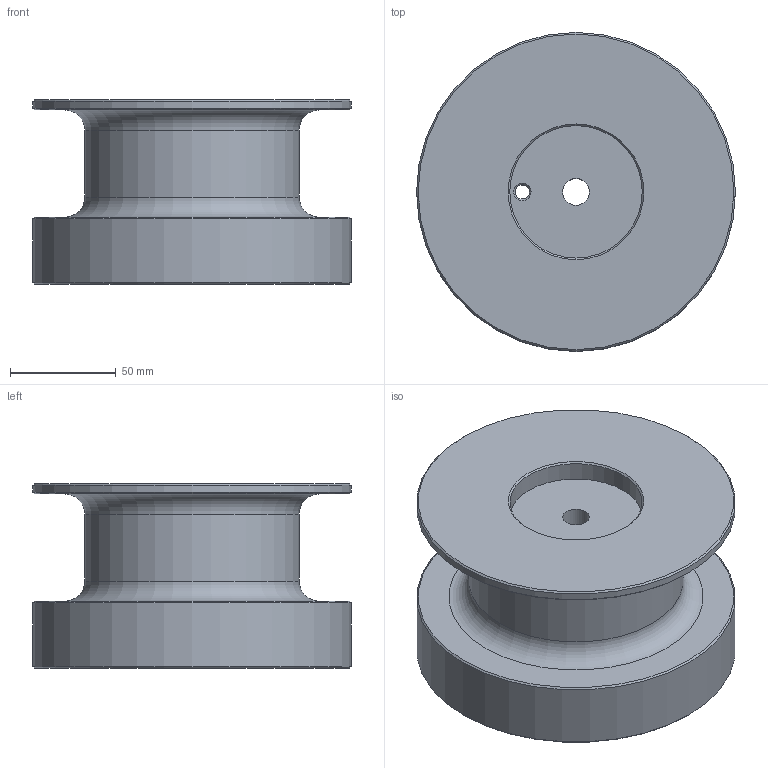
import cadquery as cq

outer_diameter = 151.13
hub_diameter = 101.6
rim_height = 31.75
groove_width = 50.8
flange_thickness = 4.775
groove_fillet = 9.525
edge_chamfer = 0.76

recess_diameter = 62.79
recess_depth = 9.525

bore_diameter = 12.7
pin_hole_diameter = 6.75
pin_hole_offset = 25.4

flange_bottom = rim_height + groove_width
total_height = flange_bottom + flange_thickness
recess_floor = total_height - recess_depth


def disc(diameter, bottom, height):
    """Cylinder on the Z axis standing on the given level."""
    return cq.Workplane("XY").workplane(offset=bottom).circle(diameter / 2).extrude(height)


def chamfered_disc(diameter, bottom, height):
    """Disc with both circular edges chamfered."""
    return disc(diameter, bottom, height).edges("%CIRCLE").chamfer(edge_chamfer)


def filleted_hub():
    """Hub between rim and flange, flaring into both with a quarter-round fillet."""
    hub_radius = hub_diameter / 2
    flare_radius = hub_radius + groove_fillet
    profile = (
        cq.Workplane("XZ")
        .moveTo(0, rim_height)
        .lineTo(flare_radius, rim_height)
        .radiusArc((hub_radius, rim_height + groove_fillet), groove_fillet)
        .lineTo(hub_radius, flange_bottom - groove_fillet)
        .radiusArc((flare_radius, flange_bottom), groove_fillet)
        .lineTo(0, flange_bottom)
        .close()
    )
    return profile.revolve(360, (0, 0, 0), (0, 1, 0))


def chamfered_cutter(diameter, bottom, top):
    """Cylinder to subtract, with a cone that chamfers the hole mouth at its top."""
    mouth = (
        cq.Workplane("XY")
        .workplane(offset=top - edge_chamfer)
        .circle(diameter / 2)
        .workplane(offset=edge_chamfer)
        .circle(diameter / 2 + edge_chamfer)
        .loft()
    )
    return disc(diameter, bottom, top - bottom).union(mouth)


rim = chamfered_disc(outer_diameter, 0, rim_height)
flange = chamfered_disc(outer_diameter, flange_bottom, flange_thickness)
spool = rim.union(filleted_hub()).union(flange)

recess = chamfered_cutter(recess_diameter, recess_floor, total_height)
bore = disc(bore_diameter, 0, total_height)
pin_hole = chamfered_cutter(pin_hole_diameter, 0, recess_floor).translate((-pin_hole_offset, 0, 0))

result = spool.cut(recess).cut(bore).cut(pin_hole)